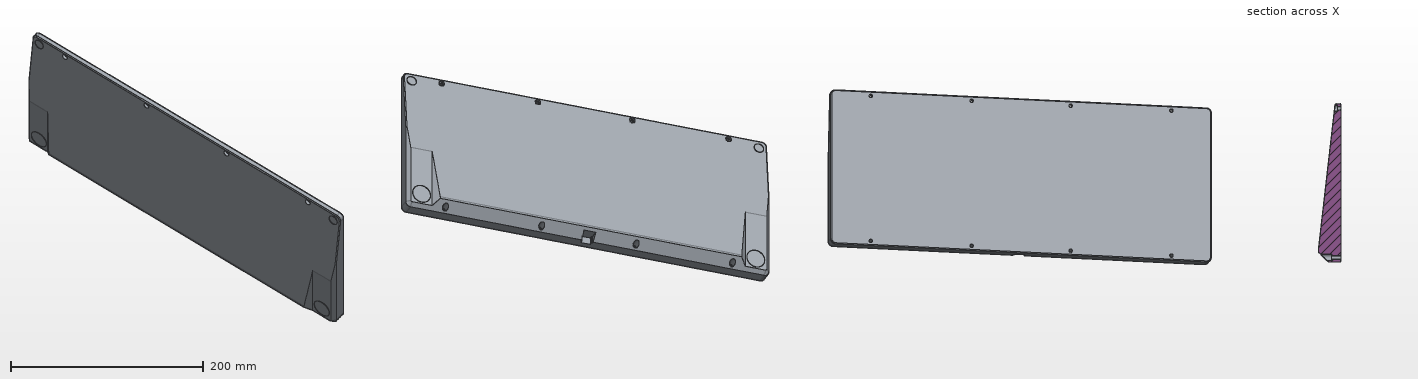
import cadquery as cq

WIDTH = 405.0
DEPTH = 24.0
HEIGHT = 165.0
CORNER_RADIUS = 5.3
EDGE_CHAMFER = 1.0

TOP_DEPTH = 6.5
RIM_DEPTH = 13.5
CREST_LOW = DEPTH - RIM_DEPTH
CREST_HIGH = 12.5

PAD_DEPTH = 17.5
PAD_INNER = WIDTH / 2 - 28.0
RAMP_RUN = 6.5

SMALL_FOOT_DIAMETER = 10.5
SMALL_FOOT_INSET = 9.0
BIG_FOOT_DIAMETER = 20.0
BIG_FOOT_X = WIDTH / 2 - 16.0
BIG_FOOT_Z = 15.8
FOOT_RECESS = 0.5

SCREW_X = (-160.0, -52.5, 52.5, 160.0)
SCREW_INSET = 5.0
SCREW_HOLE = 3.4
COUNTERBORE = 6.0
UPPER_BORE_FLOOR = 4.0
LOWER_BORE_FLOOR = 10.0

NOTCH_MOUTH_WIDTH = 13.0
NOTCH_FLOOR_WIDTH = 10.5
NOTCH_HEIGHT = 7.5
NOTCH_SHELF = 11.5
NOTCH_FLOOR = 8.0

SLOPE = (DEPTH - TOP_DEPTH) / (HEIGHT - CREST_HIGH)
BEVEL_START = HEIGHT - (RIM_DEPTH - TOP_DEPTH) / SLOPE


def slope_depth(z):
    """Depth of the sloping front at height z."""
    return TOP_DEPTH + SLOPE * (HEIGHT - z)


def wedge():
    """Side profile swept across the width."""
    profile = [
        (0, 0),
        (-RIM_DEPTH, 0),
        (-DEPTH, CREST_LOW),
        (-DEPTH, CREST_HIGH),
        (-TOP_DEPTH, HEIGHT),
        (0, HEIGHT),
    ]
    return cq.Workplane("YZ").polyline(profile).close().extrude(WIDTH / 2, both=True)


def rounded_outline(depth):
    """Sketch plane at the given depth holding the rounded front outline."""
    outline = cq.Sketch().rect(WIDTH, HEIGHT).vertices().fillet(CORNER_RADIUS)
    return cq.Workplane("XZ", origin=(0, -depth, HEIGHT / 2)).placeSketch(outline)


def tray():
    """Straight rim topped by a 45 degree bevel up to the pad depth."""
    rim = rounded_outline(0).extrude(RIM_DEPTH)
    bevel = rounded_outline(RIM_DEPTH).extrude(PAD_DEPTH - RIM_DEPTH, taper=45)
    return rim.union(bevel)


def middle():
    """Raised block between the pads, with ramped flanks."""
    half_top = PAD_INNER - RAMP_RUN
    section = [
        (-PAD_INNER, -PAD_DEPTH),
        (-half_top, -DEPTH),
        (half_top, -DEPTH),
        (PAD_INNER, -PAD_DEPTH),
    ]
    return cq.Workplane("XY").polyline(section).close().extrude(HEIGHT)


def shell_blank():
    """Tray cut to the wedge, with its back rim and sloping front rim chamfered."""
    blank = tray().intersect(wedge()).faces(">Y").chamfer(EDGE_CHAMFER)
    on_slope = cq.selectors.NearestToPointSelector((0, -RIM_DEPTH, BEVEL_START))
    rim_box = cq.selectors.BoxSelector((-WIDTH, -DEPTH, BEVEL_START), (WIDTH, 0, 2 * HEIGHT))
    return blank.faces(on_slope).edges(rim_box).chamfer(EDGE_CHAMFER)


def front_cylinder(x, z, diameter, floor):
    """Cylinder along Y reaching from depth `floor` out past the front."""
    plane = cq.Workplane("XZ", origin=(x, -floor, z))
    return plane.circle(diameter / 2).extrude(DEPTH)


def small_foot_seat(x):
    """Round seat sunk square into the sloping front."""
    z = HEIGHT - SMALL_FOOT_INSET
    plane = cq.Plane(origin=(x, -slope_depth(z), z), xDir=(1, 0, 0), normal=(0, -1, SLOPE))
    seat = cq.Workplane(plane).workplane(offset=-FOOT_RECESS)
    return seat.circle(SMALL_FOOT_DIAMETER / 2).extrude(DEPTH)


def big_foot_seat(x):
    """Round seat sunk into a flat pad."""
    return front_cylinder(x, BIG_FOOT_Z, BIG_FOOT_DIAMETER, PAD_DEPTH - FOOT_RECESS)


def screw_hole(x, z, bore_floor):
    """Through hole counterbored from the front."""
    hole = front_cylinder(x, z, SCREW_HOLE, 0)
    return hole.union(front_cylinder(x, z, COUNTERBORE, bore_floor))


def notch_step(width, floor):
    """Box open at the bottom edge, reaching from depth `floor` out past the front."""
    step = cq.Workplane("XY").box(width, DEPTH, NOTCH_HEIGHT, centered=(True, False, False))
    return step.translate((0, -floor - DEPTH, 0))


def cable_notch():
    """Stepped notch, narrower at its floor than at its mouth."""
    mouth = notch_step(NOTCH_MOUTH_WIDTH, NOTCH_SHELF)
    return mouth.union(notch_step(NOTCH_FLOOR_WIDTH, NOTCH_FLOOR))


body = shell_blank().union(middle().intersect(wedge()))

for side in (-1, 1):
    body = body.cut(small_foot_seat(side * (WIDTH / 2 - SMALL_FOOT_INSET)))
    body = body.cut(big_foot_seat(side * BIG_FOOT_X))

for x in SCREW_X:
    body = body.cut(screw_hole(x, HEIGHT - SCREW_INSET, UPPER_BORE_FLOOR))
    body = body.cut(screw_hole(x, SCREW_INSET, LOWER_BORE_FLOOR))

result = body.cut(cable_notch())